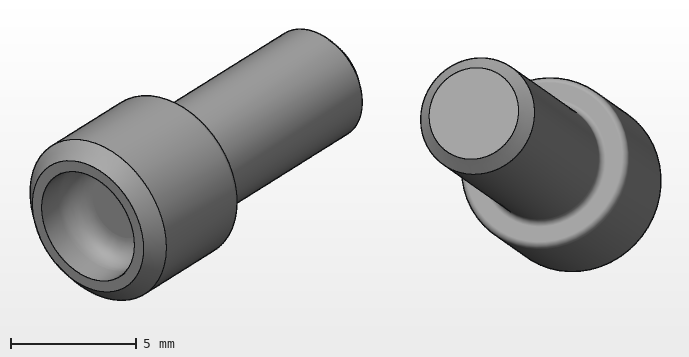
import cadquery as cq

total_length = 15.05

head_diameter = 7.0
head_length = 5.31
head_front_chamfer = 0.65
head_back_round = 0.24

shank_diameter = 4.75
shank_tip_chamfer = 0.51
neck_fillet = 0.24

recess_diameter = 4.75
recess_floor_diameter = 2.77
recess_depth = 2.02
recess_corner_radius = (recess_diameter - recess_floor_diameter) / 2


def cylinder_along_y(diameter, start, length):
    """Solid cylinder on the Y axis, growing toward +Y from start."""
    plane = cq.Plane(origin=(0, start, 0), xDir=(1, 0, 0), normal=(0, 1, 0))
    return cq.Workplane(plane).circle(diameter / 2).extrude(length)


front_face = -total_length / 2

head = cylinder_along_y(head_diameter, front_face, head_length)
head = head.faces("<Y").chamfer(head_front_chamfer)
head = head.faces(">Y").edges().fillet(head_back_round)

shank = cylinder_along_y(shank_diameter, front_face + head_length, total_length - head_length)
shank = shank.faces(">Y").chamfer(shank_tip_chamfer)

body = head.union(shank)

shoulder_mid_radius = (head_diameter + shank_diameter) / 4
shoulder_point = (0, front_face + head_length, shoulder_mid_radius)
shoulder = body.faces(cq.selectors.NearestToPointSelector(shoulder_point))
body = shoulder.edges(cq.selectors.RadiusNthSelector(0)).fillet(neck_fillet)

recess = cylinder_along_y(recess_diameter, front_face, recess_depth)
recess = recess.faces(">Y").edges().fillet(recess_corner_radius)

result = body.cut(recess)